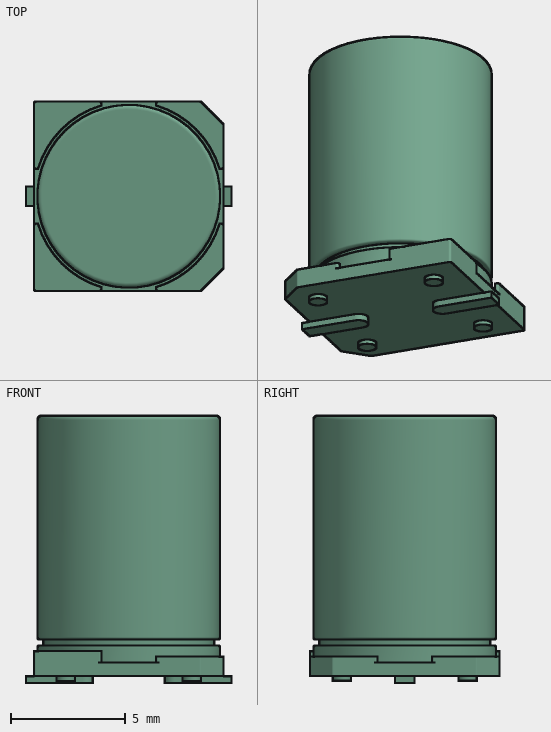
import cadquery as cq

BASE_SIZE = 8.3
BASE_BOTTOM = 0.3
FLOOR_TOP = 0.9
TALL_PAD_TOP = 1.4
LOW_PAD_TOP = 1.15
BASE_CHAMFER = 1.0
BASE_EDGE_RADIUS = 0.1
POCKET_RADIUS = 4.15
SLOT_WIDTH = 2.4

CAN_DIAMETER = 8.0
CAN_TOP = 11.7
CAN_TOP_RADIUS = 0.2
NECK_DIAMETER = 7.5
NECK_BOTTOM = 1.65
NECK_TOP = 1.9
NECK_LIP_RADIUS = 0.1

LEAD_SPAN = 9.0
LEAD_WIDTH = 0.86
LEAD_ROUND_CENTER = 2.0
FOOT_DIAMETER = 0.8
FOOT_OFFSET = 2.75
FOOT_BOTTOM = 0.1


def box_between(x_min, x_max, y_min, y_max, z_min, z_max):
    """Axis-aligned box given by its limits."""
    box = cq.Workplane("XY").box(x_max - x_min, y_max - y_min, z_max - z_min, centered=False)
    return box.translate((x_min, y_min, z_min))


def cylinder(diameter, z_min, z_max):
    """Vertical cylinder on the Z axis."""
    return cq.Workplane("XY").workplane(offset=z_min).circle(diameter / 2).extrude(z_max - z_min)


def make_floor():
    """Lower slab of the base, chamfered at the two +X corners."""
    slab = (
        cq.Workplane("XY")
        .workplane(offset=BASE_BOTTOM)
        .rect(BASE_SIZE, BASE_SIZE)
        .extrude(FLOOR_TOP - BASE_BOTTOM)
    )
    slab = slab.edges("|Z and >X").chamfer(BASE_CHAMFER)
    return slab.edges("|Z").fillet(BASE_EDGE_RADIUS)


def make_pad(x_side, y_side, pad_top):
    """Corner pad standing on the floor, hollowed by the round can pocket."""
    half_size = BASE_SIZE / 2
    half_slot = SLOT_WIDTH / 2
    pad = box_between(half_slot, half_size, half_slot, half_size, FLOOR_TOP, pad_top)
    if x_side > 0:
        pad = pad.edges("|Z and >X and >Y").chamfer(BASE_CHAMFER)
    pad = pad.edges("|Z").edges("not(<X and <Y)").fillet(BASE_EDGE_RADIUS)
    pad = pad.cut(cylinder(2 * POCKET_RADIUS, FLOOR_TOP, pad_top))
    if x_side < 0:
        pad = pad.mirror("YZ")
    if y_side < 0:
        pad = pad.mirror("XZ")
    return pad


def make_base():
    """Floor slab with its four corner pads."""
    base = make_floor()
    for x_side, pad_top in ((-1, TALL_PAD_TOP), (1, LOW_PAD_TOP)):
        for y_side in (-1, 1):
            base = base.union(make_pad(x_side, y_side, pad_top))
    return base


def make_can():
    """Can with a rounded top, standing on a narrower neck and a seal ring."""
    ring = cylinder(CAN_DIAMETER, FLOOR_TOP, NECK_BOTTOM).faces(">Z").edges().fillet(NECK_LIP_RADIUS)
    neck = cylinder(NECK_DIAMETER, NECK_BOTTOM, NECK_TOP)
    shell = cylinder(CAN_DIAMETER, NECK_TOP, CAN_TOP)
    shell = shell.faces(">Z").edges().fillet(CAN_TOP_RADIUS)
    shell = shell.faces("<Z").edges().fillet(NECK_LIP_RADIUS)
    return ring.union(neck).union(shell)


def make_lead(x_side):
    """Flat lead under the base with a rounded inner end."""
    half_width = LEAD_WIDTH / 2
    lead = (
        cq.Workplane("XY")
        .moveTo(x_side * LEAD_SPAN / 2, -half_width)
        .lineTo(x_side * LEAD_ROUND_CENTER, -half_width)
        .threePointArc(
            (x_side * (LEAD_ROUND_CENTER - half_width), 0),
            (x_side * LEAD_ROUND_CENTER, half_width),
        )
        .lineTo(x_side * LEAD_SPAN / 2, half_width)
        .close()
    )
    return lead.extrude(BASE_BOTTOM)


def make_feet():
    """Four round standoff feet under the base."""
    spacing = 2 * FOOT_OFFSET
    return (
        cq.Workplane("XY")
        .workplane(offset=FOOT_BOTTOM)
        .rect(spacing, spacing, forConstruction=True)
        .vertices()
        .circle(FOOT_DIAMETER / 2)
        .extrude(BASE_BOTTOM - FOOT_BOTTOM)
    )


result = make_base().union(make_can()).union(make_feet())
for side in (-1, 1):
    result = result.union(make_lead(side))